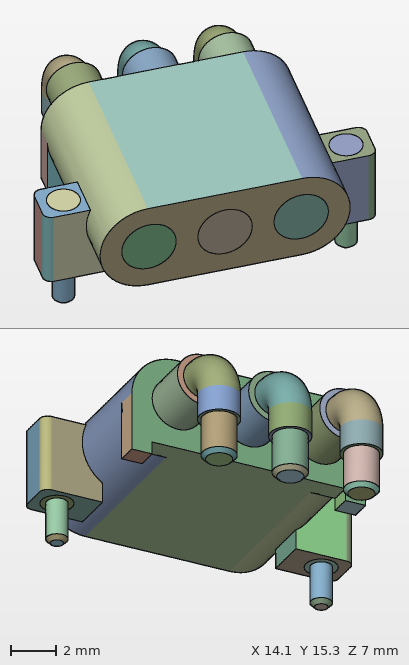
import cadquery as cq


SHELL_LENGTH = 9.0
SHELL_WIDTH = 11.5
SHELL_TOP = 5.0
SHELL_BOTTOM = 0.6
SHELL_HEIGHT = SHELL_TOP - SHELL_BOTTOM
AXIS_HEIGHT = (SHELL_TOP + SHELL_BOTTOM) / 2

WALL_LENGTH = 1.0
FOOT_WIDTH = 1.0
FOOT_INNER_Y = SHELL_WIDTH / 2 - FOOT_WIDTH

EAR_SPAN = 15.3
EAR_LENGTH = 2.0
EAR_HEIGHT = 3.7
EAR_X = 5.9
EAR_CORNER_RADIUS = 0.4

CONTACT_COUNT = 3
CONTACT_PITCH = 3.5
BARREL_DIAMETER = 2.5
BARREL_OVERHANG = 2.5
ELBOW_DIAMETER = 1.9
ELBOW_RADIUS = 1.6
TAIL_DIAMETER = 1.6
TAIL_X = -BARREL_OVERHANG - ELBOW_RADIUS
CONTACT_Y = [(i - (CONTACT_COUNT - 1) / 2) * CONTACT_PITCH for i in range(CONTACT_COUNT)]

PEG_SPACING = 13.0
PEG_HEAD_DIAMETER = 1.5
PEG_TIP_DIAMETER = 1.0
PEG_Y = [-PEG_SPACING / 2, PEG_SPACING / 2]

BOARD_DEPTH = 2.0
TIP_CHAMFER = 0.2


def box_between(x_range, y_range, z_range):
    """Box given by its lower and upper limits along each axis."""
    size = [upper - lower for lower, upper in (x_range, y_range, z_range)]
    corner = (x_range[0], y_range[0], z_range[0])
    return cq.Workplane("XY").box(*size, centered=False).translate(corner)


def x_cylinder(diameter, x_start, x_end, y):
    """Cylinder along X at the height of the shell axis."""
    start = cq.Workplane("YZ", origin=(x_start, y, AXIS_HEIGHT))
    return start.circle(diameter / 2).extrude(x_end - x_start)


def z_cylinder(diameter, z_bottom, z_top, x, y):
    """Upright cylinder."""
    start = cq.Workplane("XY", origin=(x, y, z_bottom))
    return start.circle(diameter / 2).extrude(z_top - z_bottom)


def board_tip(diameter, x, y):
    """Upright pin below the seating plane, chamfered at its lower end."""
    return z_cylinder(diameter, -BOARD_DEPTH, 0, x, y).faces("<Z").chamfer(TIP_CHAMFER)


def make_rear_wall():
    """Square-cornered lower half of the shell's rear end, with a foot at each side."""
    half_width = SHELL_WIDTH / 2
    wall = box_between((0, WALL_LENGTH), (-half_width, half_width), (0, AXIS_HEIGHT))
    gap = box_between((0, WALL_LENGTH), (-FOOT_INNER_Y, FOOT_INNER_Y), (0, SHELL_BOTTOM))
    return wall.cut(gap)


def make_ear():
    """Ear on the +Y side with rounded outer corners, reaching inward as far as the foot."""
    ear = box_between(
        (EAR_X - EAR_LENGTH / 2, EAR_X + EAR_LENGTH / 2),
        (FOOT_INNER_Y, EAR_SPAN / 2),
        (0, EAR_HEIGHT),
    )
    return ear.faces(">Y").edges("|Z").fillet(EAR_CORNER_RADIUS)


def make_contact_barrel(y):
    """Straight barrel through the shell, flush with its front face."""
    return x_cylinder(BARREL_DIAMETER, -BARREL_OVERHANG, SHELL_LENGTH, y)


def make_peg_head(y):
    """Head of a peg through the full height of its ear."""
    return z_cylinder(PEG_HEAD_DIAMETER, 0, EAR_HEIGHT, EAR_X, y)


def make_housing():
    """Round-sided shell with a footed rear wall and ears, bored for the contacts and pegs."""
    housing = (
        cq.Workplane("YZ", origin=(0, 0, AXIS_HEIGHT))
        .slot2D(SHELL_WIDTH, SHELL_HEIGHT)
        .extrude(SHELL_LENGTH)
    )
    ear = make_ear()
    for feature in (make_rear_wall(), ear, ear.mirror("XZ")):
        housing = housing.union(feature)
    for y in CONTACT_Y:
        housing = housing.cut(make_contact_barrel(y))
    for y in PEG_Y:
        housing = housing.cut(make_peg_head(y))
    return housing


def make_contact(y):
    """Barrel, quarter-turn elbow, straight leg and solder tail as one solid."""
    elbow = (
        cq.Workplane("YZ", origin=(-BARREL_OVERHANG, y, AXIS_HEIGHT))
        .circle(ELBOW_DIAMETER / 2)
        .revolve(90, (1, -ELBOW_RADIUS), (-1, -ELBOW_RADIUS))
    )
    leg = z_cylinder(ELBOW_DIAMETER, 0, AXIS_HEIGHT - ELBOW_RADIUS, TAIL_X, y)
    tail = board_tip(TAIL_DIAMETER, TAIL_X, y)
    return make_contact_barrel(y).union(elbow).union(leg).union(tail)


def make_peg(y):
    """Locating peg with its head in an ear and its tip below the seating plane."""
    return make_peg_head(y).union(board_tip(PEG_TIP_DIAMETER, EAR_X, y))


housing = make_housing()
contacts = [make_contact(y) for y in CONTACT_Y]
pegs = [make_peg(y) for y in PEG_Y]

result = cq.Compound.makeCompound([body.val() for body in [housing, *contacts, *pegs]])